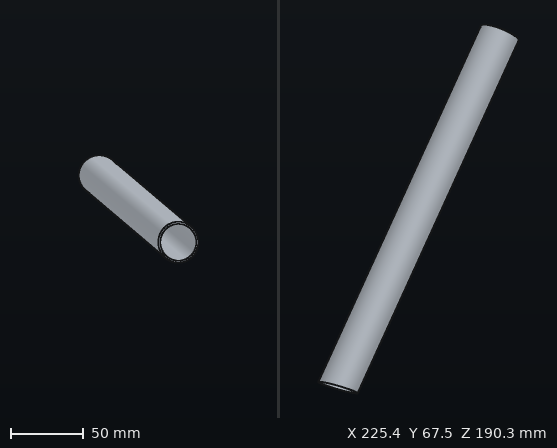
import math

import cadquery as cq

OUTER_DIAMETER = 28.0
WALL_THICKNESS = 1.5
AXIS_LENGTH = 269.21

AXIS_DIRECTION = (-11.06, 39.16)
LOWER_CUT_NORMAL = (-22.0, 40.2)
UPPER_CUT_NORMAL = (-11.7, 47.4)

TRIM_ALLOWANCE = OUTER_DIAMETER
CUTTER_SIZE = 4 * OUTER_DIAMETER


def unit_vector(direction):
    """Unit vector for an (azimuth, elevation) pair."""
    azimuth, elevation = (math.radians(angle) for angle in direction)
    return cq.Vector(
        math.cos(elevation) * math.cos(azimuth),
        math.cos(elevation) * math.sin(azimuth),
        math.sin(elevation),
    )


def make_tube_stock():
    """Round tube centred on the origin, square-ended and over length."""
    axis = unit_vector(AXIS_DIRECTION)
    start = axis * -(AXIS_LENGTH / 2 + TRIM_ALLOWANCE)
    outer_radius = OUTER_DIAMETER / 2
    return (
        cq.Workplane(cq.Plane(start, normal=axis))
        .circle(outer_radius)
        .circle(outer_radius - WALL_THICKNESS)
        .extrude(AXIS_LENGTH + 2 * TRIM_ALLOWANCE)
    )


def trim_end(tube, side, cut_normal):
    """Cut one end flat; side is -1 for the lower end and +1 for the upper end."""
    cut_centre = unit_vector(AXIS_DIRECTION) * (side * AXIS_LENGTH / 2)
    outward = unit_vector(cut_normal) * side
    cutter = (
        cq.Workplane(cq.Plane(cut_centre, normal=outward))
        .rect(CUTTER_SIZE, CUTTER_SIZE)
        .extrude(CUTTER_SIZE)
    )
    return tube.cut(cutter)


tube = make_tube_stock()
tube = trim_end(tube, -1, LOWER_CUT_NORMAL)
result = trim_end(tube, 1, UPPER_CUT_NORMAL)